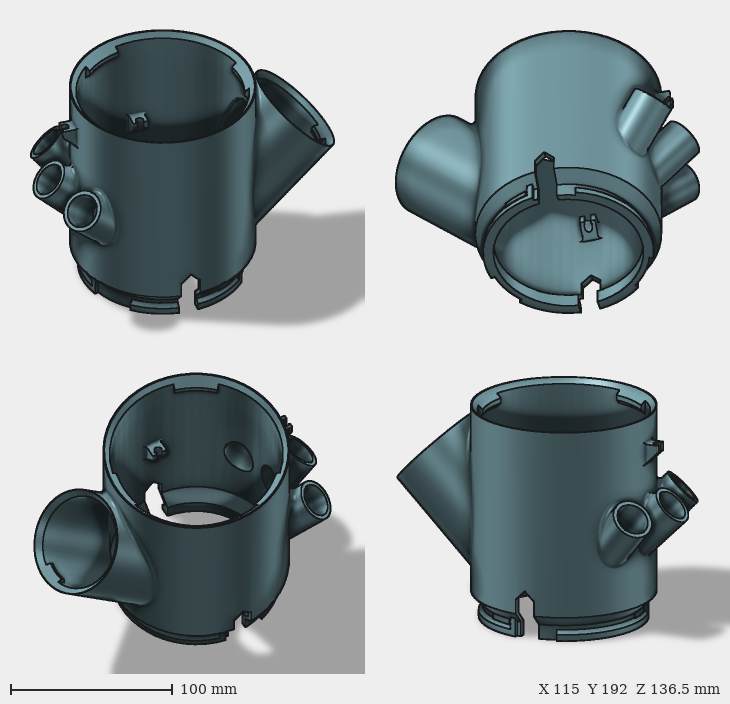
import cadquery as cq
import math

body_height = 136.5
body_radius = 57.5
bore_radius = 53.5
collar_bore_radius = 46.3
neck_radius = 50.2
shoulder_bottom = 9.4
shoulder_top = shoulder_bottom + body_radius - neck_radius
inner_shoulder_top = shoulder_bottom + bore_radius - collar_bore_radius
body_rim_width = 0.7
mouth_slope = 1.0

bayonet_count = 3
bayonet_pitch = 360 / bayonet_count
tab_radius = 50.8
tab_span = 30
tab_lip_height = 3.2
tab_overlap = 1.0
first_tab_angle = 90
rail_radius = 52.7
rail_height = 4.1
rail_root = 49.3
rail_start = 320
rail_stop_angle = 406
stop_span = 4
lock_bump_radius = 50.8
lock_bump_start = 385
lock_bump_end = 403.5
lock_bump_bottom = 6.2

slot_width = 12.2
slot_shoulder_height = 26.1

branch_azimuth = 90
branch_tilt = 45
branch_radius = 32.6
branch_bore_radius = 28.7
branch_end_reach = 85.9
branch_end_height = 99.9
branch_rim_width = 0.3
branch_tab_radius = 26.5
branch_tab_lip_height = 2.0

inlet_tilt = 45
inlet_radius = 13.0
inlet_bore_radius = 10.3
inlet_end_reach = 73.85
inlet_end_height = 81.4
inlet_angles = (240, 270, 300)
joint_fillet = 2.5
branch_opening_fillet = 2.0

clip_width = 9.8
clip_reach = 8.5
clip_tip_height = 5.0
clip_root_fillet = 1.7
clip_tip_fillet = 0.6
clip_root_overlap = 1.5
clip_hole_radius = 2.45
clip_hole_offset = 6.2
clip_throat_width = 3.8
outer_clip_azimuth = 270
outer_clip_top = 120.0
inner_clip_azimuths = (0, 180)
inner_clip_top = 76.0

pick_margin = 1.0


def turned(points):
    """Revolve a closed (radius, height) outline around Z, with the seam on the -Y side."""
    profile = cq.Workplane("XZ").polyline(points).close()
    return profile.revolve(360, (0, 0, 0), (0, 1, 0)).rotate((0, 0, 0), (0, 0, 1), -90)


def turned_sector(points, start_angle, end_angle):
    """Revolve a closed (radius, height) outline around Z between two angles."""
    profile = cq.Workplane("XZ").polyline(points).close()
    sector = profile.revolve(end_angle - start_angle, (0, 0, 0), (0, 1, 0))
    return sector.rotate((0, 0, 0), (0, 0, 1), start_angle)


def tilted_cylinder(radius, azimuth, tilt, end_reach, end_height):
    """Cylinder whose outer end is centred at (end_reach, end_height) and whose root lies inside the body."""
    length = (end_reach - bore_radius / 2) / math.sin(math.radians(tilt))
    cylinder = cq.Workplane("XY").circle(radius).extrude(-length)
    return place_at_tilted_end(cylinder, azimuth, tilt, end_reach, end_height)


def place_at_tilted_end(shape, azimuth, tilt, end_reach, end_height):
    """Move a shape built on Z, with its end at the origin, to the outer end of a tilted tube."""
    tilted_shape = shape.rotate((0, 0, 0), (0, 1, 0), tilt)
    moved = tilted_shape.translate((end_reach, 0, end_height))
    return moved.rotate((0, 0, 0), (0, 0, 1), azimuth)


def place_at_branch_end(shape):
    return place_at_tilted_end(shape, branch_azimuth, branch_tilt, branch_end_reach, branch_end_height)


def branch_cylinder(radius):
    return tilted_cylinder(radius, branch_azimuth, branch_tilt, branch_end_reach, branch_end_height)


def inlet_cylinder(radius, azimuth):
    return tilted_cylinder(radius, azimuth, inlet_tilt, inlet_end_reach, inlet_end_height)


def outer_shell():
    """Solid outer form of the body and its tubes, with filleted joints."""
    shell = turned([
        (0, 0),
        (neck_radius, 0),
        (neck_radius, shoulder_bottom),
        (body_radius, shoulder_top),
        (body_radius, body_height),
        (0, body_height),
    ])
    shell = shell.union(branch_cylinder(branch_radius))
    for azimuth in inlet_angles:
        shell = shell.union(inlet_cylinder(inlet_radius, azimuth))
    return shell.edges("%BSPLINE").fillet(joint_fillet)


def bore():
    """Inner space of the body, narrowing at the shoulder to the collar bore."""
    return turned([
        (0, 0),
        (collar_bore_radius, 0),
        (collar_bore_radius, shoulder_bottom),
        (bore_radius, inner_shoulder_top),
        (bore_radius, body_height),
        (0, body_height),
    ])


def cavity():
    """Bore of the body joined to the bore of the branch, with a filleted opening between them."""
    joined = bore().union(branch_cylinder(branch_bore_radius))
    return joined.edges("%BSPLINE").fillet(branch_opening_fillet)


def mouth_cone(radius):
    """Inverted cone that flares a mouth, its rim of the given radius lying on z = 0."""
    return turned([(0, 0), (radius, 0), (0, -radius * mouth_slope)])


def tab(outer, inner, lip_bottom, start_angle, end_angle):
    """Tab with a 45 degree underside, reaching up to z = 0, where a mouth cone trims it."""
    return turned_sector(
        [
            (inner, 0),
            (inner, lip_bottom),
            (outer + tab_overlap, lip_bottom - (outer + tab_overlap - inner)),
            (outer + tab_overlap, 0),
        ],
        start_angle,
        end_angle,
    )


def add_socket_tabs_and_mouth(part):
    """Add the locking tabs at the top of the body, then flare body and tabs in one cut."""
    mouth_radius = body_radius - body_rim_width
    lip_bottom = -(mouth_radius - tab_radius) * mouth_slope - tab_lip_height
    for index in range(bayonet_count):
        start_angle = first_tab_angle - tab_span / 2 + index * bayonet_pitch
        socket_tab = tab(bore_radius, tab_radius, lip_bottom, start_angle, start_angle + tab_span)
        part = part.union(socket_tab.translate((0, 0, body_height)))
    return part.cut(mouth_cone(mouth_radius).translate((0, 0, body_height)))


def add_branch_tab_and_mouth(part):
    """Add the single tab at the low side of the branch end, then flare both in one cut."""
    mouth_radius = branch_radius - branch_rim_width
    lip_bottom = -(mouth_radius - branch_tab_radius) * mouth_slope - branch_tab_lip_height
    branch_tab = tab(branch_bore_radius, branch_tab_radius, lip_bottom, -tab_span / 2, tab_span / 2)
    mouth = mouth_cone(mouth_radius)
    return part.union(place_at_branch_end(branch_tab)).cut(place_at_branch_end(mouth))


def collar_rails():
    """Rails with a bevelled upper edge, each closed by a stop and carrying a locking bump."""
    rail_bevel = rail_radius - neck_radius
    bump_top = shoulder_bottom + lock_bump_radius - neck_radius
    rail_outline = [
        (rail_root, 0),
        (rail_radius, 0),
        (rail_radius, rail_height),
        (neck_radius, rail_height + rail_bevel),
        (rail_root, rail_height + rail_bevel),
    ]
    stop_outline = [
        (rail_root, 0),
        (rail_radius, 0),
        (rail_radius, shoulder_bottom + rail_bevel),
        (rail_root, shoulder_bottom + rail_bevel),
    ]
    bump_outline = [
        (rail_root, lock_bump_bottom),
        (lock_bump_radius, lock_bump_bottom),
        (lock_bump_radius, bump_top),
        (rail_root, bump_top),
    ]
    rails = cq.Workplane("XY")
    for index in range(bayonet_count):
        turn = index * bayonet_pitch
        stop_start = rail_stop_angle + turn
        rails = rails.union(turned_sector(rail_outline, rail_start + turn, stop_start))
        rails = rails.union(turned_sector(stop_outline, stop_start, stop_start + stop_span))
        rails = rails.union(turned_sector(bump_outline, lock_bump_start + turn, lock_bump_end + turn))
    return rails


def collar_slots():
    """Slots with a 45 degree gable top, cut across the whole collar along X."""
    half_width = slot_width / 2
    gable = cq.Workplane("YZ").polyline([
        (-half_width, 0),
        (half_width, 0),
        (half_width, slot_shoulder_height),
        (0, slot_shoulder_height + half_width),
        (-half_width, slot_shoulder_height),
    ]).close()
    return gable.extrude(body_radius, both=True)


def clip():
    """Clip with its root plane at x = 0, pointing along +X, with its top at z = 0."""
    total_height = clip_tip_height + clip_reach
    block = (
        cq.Workplane("XZ")
        .polyline([
            (-clip_root_overlap, 0),
            (clip_reach, 0),
            (clip_reach, -clip_tip_height),
            (0, -total_height),
            (-clip_root_overlap, -total_height),
        ])
        .close()
        .extrude(clip_width / 2, both=True)
    )
    hole = (
        cq.Workplane("XY")
        .center(clip_hole_offset, 0)
        .circle(clip_hole_radius)
        .extrude(-total_height)
    )
    throat = (
        cq.Workplane("XY")
        .center(clip_hole_offset + clip_reach / 2, 0)
        .rect(clip_reach, clip_throat_width)
        .extrude(-total_height)
    )
    notched = block.cut(hole).cut(throat)
    return notched.faces(">X").edges("|Z").fillet(clip_tip_fillet)


def add_clip(part, azimuth, wall_radius, top, outward):
    """Add a clip to the outside or inside of the wall, with a fillet around its upper root."""
    half_width = clip_width / 2
    root = math.sqrt(wall_radius**2 - half_width**2)
    bottom = top - clip_tip_height - clip_reach
    new_clip = clip()
    if not outward:
        new_clip = new_clip.rotate((0, 0, 0), (0, 0, 1), 180)
    turned_part = part.rotate((0, 0, 0), (0, 0, 1), -azimuth)
    joined = turned_part.union(new_clip.translate((root, 0, top)))
    root_edges = cq.selectors.BoxSelector(
        (root - pick_margin, -half_width - pick_margin, bottom + clip_tip_height),
        (root + pick_margin, half_width + pick_margin, top + pick_margin),
    )
    filleted = joined.edges(root_edges).fillet(clip_root_fillet)
    return filleted.rotate((0, 0, 0), (0, 0, 1), azimuth)


result = outer_shell()
result = result.cut(cavity())
for inlet_angle in inlet_angles:
    result = result.cut(inlet_cylinder(inlet_bore_radius, inlet_angle))
result = add_socket_tabs_and_mouth(result)
result = add_branch_tab_and_mouth(result)
result = result.union(collar_rails())
result = add_clip(result, outer_clip_azimuth, body_radius, outer_clip_top, True)
for clip_azimuth in inner_clip_azimuths:
    result = add_clip(result, clip_azimuth, bore_radius, inner_clip_top, False)
result = result.cut(collar_slots())